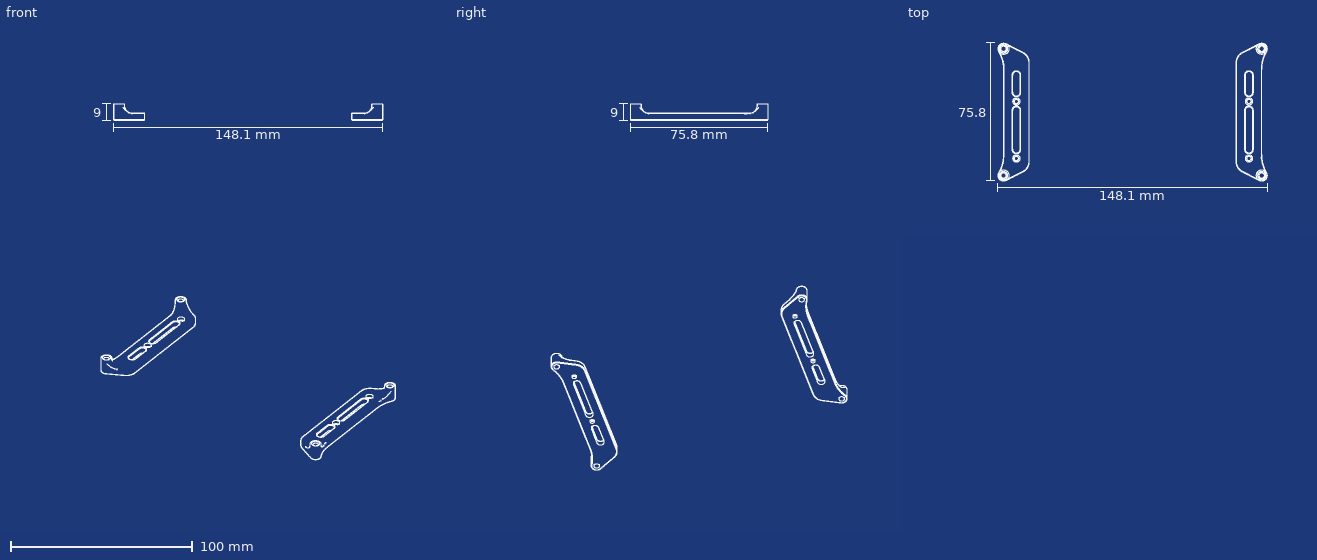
import cadquery as cq
import math

overall_length = 148.1
overall_width = 75.8
overall_height = 9.0

boss_diameter = 6.0
boss_hole_diameter = 3.0
boss_countersink_diameter = 4.5
boss_flare_radius = 4.0
boss_radius = boss_diameter / 2
boss_x = overall_length / 2 - boss_radius
boss_y = overall_width / 2 - boss_radius

plate_thickness = 4.0
plate_width = 14.0
plate_outer_x = boss_x
plate_inner_x = plate_outer_x - plate_width
edge_size = 0.37

inner_arm_angle = math.radians(27)
corner_radius = 6.0
knee_radius = 20.0

slot_width = 4.0
slot_line_x = plate_outer_x - plate_width / 2
screw_hole_diameter = 2.4
screw_counterbore_diameter = 4.0
screw_counterbore_depth = 2.0
upper_hole_y = 5.9
lower_hole_y = -25.5
slot_to_hole = 3.0
upper_slot_top_y = 22.4


def outline_wire():
    """Plan outline of the +X bracket: straight sides, angled arms, round boss ends."""
    sin_in, cos_in = math.sin(inner_arm_angle), math.cos(inner_arm_angle)

    boss_inner = (boss_x - boss_radius * sin_in, boss_y + boss_radius * cos_in)
    tip_offset = boss_radius * math.sin(math.pi / 4)
    boss_tip = (boss_x + tip_offset, boss_y + tip_offset)

    corner_y = boss_inner[1] - (boss_inner[0] - plate_inner_x) * math.tan(inner_arm_angle)
    corner_setback = corner_radius * math.tan((math.pi / 2 - inner_arm_angle) / 2)
    corner_on_arm = (plate_inner_x + corner_setback * cos_in, corner_y + corner_setback * sin_in)
    corner_on_side = (plate_inner_x, corner_y - corner_setback)

    knee_centre_x = plate_outer_x + knee_radius
    centre_distance = knee_radius + boss_radius
    knee_drop = math.sqrt(centre_distance**2 - (knee_centre_x - boss_x) ** 2)
    knee_on_side = (plate_outer_x, boss_y - knee_drop)
    boss_share = boss_radius / centre_distance
    knee_on_boss = (boss_x + (knee_centre_x - boss_x) * boss_share, boss_y - knee_drop * boss_share)

    def mirrored(point):
        return (point[0], -point[1])

    return (
        cq.Workplane("XY")
        .moveTo(*mirrored(knee_on_side))
        .lineTo(*knee_on_side)
        .tangentArcPoint(knee_on_boss, relative=False)
        .threePointArc(boss_tip, boss_inner)
        .lineTo(*corner_on_arm)
        .tangentArcPoint(corner_on_side, relative=False)
        .lineTo(*mirrored(corner_on_side))
        .tangentArcPoint(mirrored(corner_on_arm), relative=False)
        .lineTo(*mirrored(boss_inner))
        .threePointArc(mirrored(boss_tip), mirrored(knee_on_boss))
        .tangentArcPoint(mirrored(knee_on_side), relative=False)
        .close()
    )


def plate():
    """Plate with a chamfered bottom rim and a rounded top rim."""
    blank = outline_wire().extrude(plate_thickness)
    return blank.faces("<Z").chamfer(edge_size).faces(">Z").edges().fillet(edge_size)


def flared_boss(y):
    """Boss with a rounded top rim and a concave flare at its foot that runs out onto the plate."""
    flare_outer = boss_radius + boss_flare_radius
    flare_top = plate_thickness + boss_flare_radius
    arc_offset = boss_flare_radius * math.sin(math.pi / 4)
    profile = (
        cq.Workplane("XZ")
        .moveTo(0, edge_size)
        .lineTo(flare_outer, edge_size)
        .lineTo(flare_outer, plate_thickness)
        .threePointArc((flare_outer - arc_offset, flare_top - arc_offset), (boss_radius, flare_top))
        .lineTo(boss_radius, overall_height - edge_size)
        .tangentArcPoint((boss_radius - edge_size, overall_height), relative=False)
        .lineTo(0, overall_height)
        .close()
    )
    boss = profile.revolve(360, (0, 0, 0), (0, 1, 0)).translate((boss_x, y, 0))
    return boss.intersect(outline_wire().extrude(overall_height))


def boss_hole(y):
    """Through hole with a countersunk mouth on top of the boss."""
    countersink_depth = (boss_countersink_diameter - boss_hole_diameter) / 2
    hole = cq.Workplane("XY").center(boss_x, y).circle(boss_hole_diameter / 2).extrude(overall_height)
    mouth = (
        cq.Workplane("XY", origin=(boss_x, y, overall_height))
        .circle(boss_countersink_diameter / 2)
        .workplane(offset=-countersink_depth)
        .circle(boss_hole_diameter / 2)
        .loft()
    )
    return hole.union(mouth)


def slot(low_y, high_y):
    """Through slot along Y with a chamfered rim on top of the plate."""
    length = high_y - low_y
    centre_y = (low_y + high_y) / 2

    def slot_at(z):
        return cq.Workplane("XY", origin=(slot_line_x, centre_y, z)).slot2D(length, slot_width, 90)

    cutter = slot_at(0).extrude(plate_thickness)
    top_rim = slot_at(plate_thickness - edge_size).extrude(edge_size, taper=-45)
    return cutter.union(top_rim)


def screw_hole(y):
    """Through hole with a counterbore sunk from the top of the plate."""
    hole = cq.Workplane("XY").center(slot_line_x, y).circle(screw_hole_diameter / 2).extrude(plate_thickness)
    counterbore = (
        cq.Workplane("XY", origin=(slot_line_x, y, plate_thickness))
        .circle(screw_counterbore_diameter / 2)
        .extrude(-screw_counterbore_depth)
    )
    return hole.union(counterbore)


def right_bracket():
    """Bracket on the +X side."""
    body = plate()
    for y in (boss_y, -boss_y):
        body = body.union(flared_boss(y)).cut(boss_hole(y))
    body = body.cut(slot(upper_hole_y + slot_to_hole, upper_slot_top_y))
    body = body.cut(slot(lower_hole_y + slot_to_hole, upper_hole_y - slot_to_hole))
    for y in (upper_hole_y, lower_hole_y):
        body = body.cut(screw_hole(y))
    return body


bracket = right_bracket()
mirrored_bracket = bracket.mirror("YZ")

result = cq.Compound.makeCompound([bracket.val(), mirrored_bracket.val()])